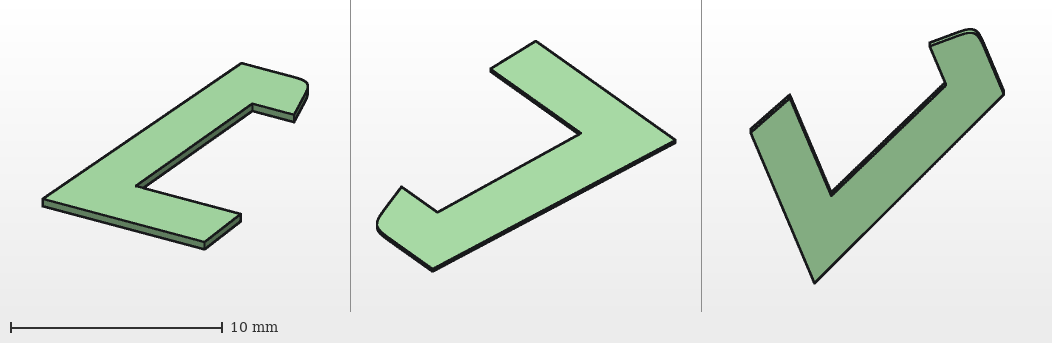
import cadquery as cq

width = 9.12
length = 11.84
thickness = 0.5

arm_depth = 2.37
head_left = 5.56
head_inner = 7.01
foot_inner = 3.81
foot_bottom_right = 8.18

corner_size = 0.95
corner_handle = 0.14

outline = (
    cq.Workplane("XY")
    .polyline([
        (head_left, length),
        (0, 0),
        (foot_bottom_right, 0),
        (width, arm_depth),
        (foot_inner, arm_depth),
        (head_inner, length - arm_depth),
        (width, length - arm_depth),
        (width, length - corner_size),
    ])
    .bezier(
        [
            (width, length - corner_handle),
            (width - corner_handle, length),
            (width - corner_size, length),
        ],
        includeCurrent=True,
    )
    .close()
)

result = outline.extrude(thickness)